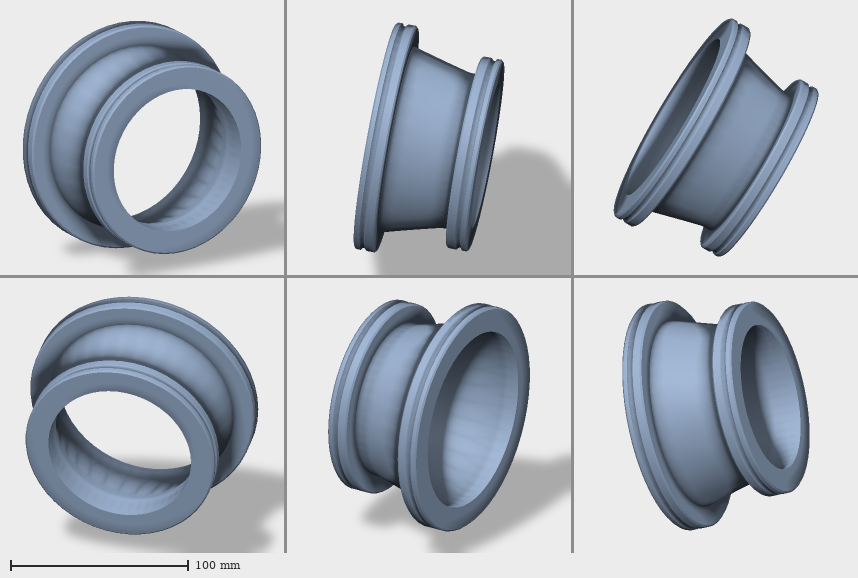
import cadquery as cq
import math

length = 63.0
large_flange_radius = 130 / 2
small_flange_radius = 110.0 / 2
flange_thickness = 12.0
flange_chamfer = 0.9

groove_bottom_offset = 4.8
groove_half_width = 1.5
groove_depth = 1.4
groove_bevel = 0.4

large_tube_radius = 108.0 / 2
small_tube_radius = 88.9 / 2
wall = 3.0
large_bend_x = 9.8
small_bend_x = 45.8
bend_radius = 11.5

cone_angle = math.atan((large_tube_radius - small_tube_radius) / (small_bend_x - large_bend_x))
bend_tangent = bend_radius * math.tan(cone_angle / 2)
bend_cone_run = bend_tangent * math.cos(cone_angle)
bend_cone_drop = bend_tangent * math.sin(cone_angle)


def revolve_about_x(profile):
    return profile.close().revolve(360, (0, 0, 0), (1, 0, 0))


def reducer_body(inset):
    """Solid bounded by the reducer surface moved inward by inset."""
    large_radius = large_tube_radius - inset
    small_radius = small_tube_radius - inset
    profile = (
        cq.Workplane("XY")
        .lineTo(0, large_radius)
        .lineTo(large_bend_x - bend_tangent, large_radius)
        .tangentArcPoint((large_bend_x + bend_cone_run, large_radius - bend_cone_drop), relative=False)
        .lineTo(small_bend_x - bend_cone_run, small_radius + bend_cone_drop)
        .tangentArcPoint((small_bend_x + bend_tangent, small_radius), relative=False)
        .lineTo(length, small_radius)
        .lineTo(length, 0)
    )
    return revolve_about_x(profile)


def groove_arc_radius(rise):
    """Radius of an arc level at the groove bottom that climbs by rise over half the groove width."""
    return (groove_half_width**2 + rise**2) / (2 * rise)


def flange(radius, face_x, inward):
    """Chamfered, grooved disc; inward is the X direction from its outer face (+1 or -1)."""
    start_x = min(face_x, face_x + inward * flange_thickness)
    disc = (
        cq.Workplane("YZ", origin=(start_x, 0, 0))
        .circle(radius)
        .extrude(flange_thickness)
        .edges()
        .chamfer(flange_chamfer)
    )
    bottom = (face_x + inward * groove_bottom_offset, radius - groove_depth)
    outward_edge = (bottom[0] - inward * groove_half_width, radius)
    bevel_foot = (bottom[0] + inward * groove_half_width, radius - groove_bevel)
    bevel_top = (bevel_foot[0] + inward * groove_bevel, radius)
    groove = revolve_about_x(
        cq.Workplane("XY")
        .moveTo(*bevel_foot)
        .lineTo(*bevel_top)
        .lineTo(*outward_edge)
        .radiusArc(bottom, -inward * groove_arc_radius(groove_depth))
        .radiusArc(bevel_foot, -inward * groove_arc_radius(groove_depth - groove_bevel))
    )
    return disc.cut(groove)


large_flange = flange(large_flange_radius, 0, 1)
small_flange = flange(small_flange_radius, length, -1)
outer_body = reducer_body(0).union(large_flange).union(small_flange)
result = outer_body.cut(reducer_body(wall))